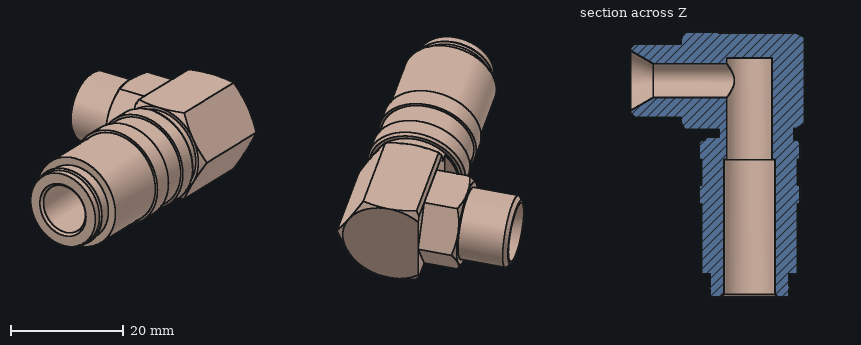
import cadquery as cq
import math

TAN_30 = math.tan(math.radians(30))
HEX_CORNER_RATIO = 1 / math.cos(math.radians(30))

elbow_flat_radius = 8.5
elbow_half_length = 8.5
milled_face_x = -5.4
mill_end_y = -10.05

nut_flat_radius = 7.5
nut_end_x = -12.2
stub_end_x = -21.17
stub_radius = 6.55
stub_chamfer = 0.75
stub_bore_radius = 2.95
stub_mouth_radius = 5.35

neck_radius = 7.9
collar_radius = 9.0
collar_chamfer = 0.45
body_radius = 8.55
nose_radius = 7.05
ring_radius = 7.3
collar_start_y = -10.5
collar_end_y = -14.05
band_start_y = -18.55
band_end_y = -22.0
body_end_y = -34.45
ring_start_y = -36.45
ring_end_y = -37.2
barrel_end_y = nut_flat_radius * HEX_CORNER_RATIO - 47.15

mouth_radius = 5.0
bore_radius = 4.55
mouth_chamfer = mouth_radius - bore_radius
passage_radius = 4.0
bore_step_y = collar_end_y
passage_floor_y = 4.0


def revolve_x(points):
    """Revolve an (x, radius) outline around the X axis."""
    return cq.Workplane("XY").polyline(points).close().revolve(360, (0, 0, 0), (1, 0, 0))


def revolve_y(points):
    """Revolve a (radius, y) outline around the Y axis."""
    return cq.Workplane("XY").polyline(points).close().revolve(360, (0, 0, 0), (0, 1, 0))


def make_elbow():
    corner_radius = elbow_flat_radius * HEX_CORNER_RATIO
    bevel_depth = (corner_radius - elbow_flat_radius) * TAN_30
    block = (
        cq.Workplane("XZ", origin=(0, elbow_half_length, 0))
        .polygon(6, 2 * corner_radius)
        .extrude(2 * elbow_half_length)
    )
    envelope = revolve_y([
        (0, -elbow_half_length),
        (elbow_flat_radius, -elbow_half_length),
        (corner_radius, -elbow_half_length + bevel_depth),
        (corner_radius, elbow_half_length - bevel_depth),
        (elbow_flat_radius, elbow_half_length),
        (0, elbow_half_length),
    ])
    return block.intersect(envelope)


def make_neck():
    return cq.Workplane("XZ").circle(neck_radius).extrude(-collar_start_y)


def mill_side(solid):
    """Mill the stub side of the block and neck down to a flat."""
    size = 4 * elbow_flat_radius
    cutter = cq.Workplane("XY").box(size, size, size, centered=(False, False, True))
    return solid.cut(cutter.translate((milled_face_x - size, mill_end_y, 0)))


def make_nut():
    corner_radius = nut_flat_radius * HEX_CORNER_RATIO
    bevel_depth = (corner_radius - nut_flat_radius) * TAN_30
    nut = cq.Workplane("YZ").polygon(6, 2 * corner_radius).extrude(nut_end_x)
    envelope = revolve_x([
        (nut_end_x, 0),
        (nut_end_x, nut_flat_radius),
        (nut_end_x + bevel_depth, corner_radius),
        (milled_face_x, corner_radius),
        (milled_face_x, 0),
    ])
    return nut.intersect(envelope)


def make_stub():
    return revolve_x([
        (stub_end_x, 0),
        (stub_end_x, stub_radius - stub_chamfer),
        (stub_end_x + stub_chamfer, stub_radius),
        (milled_face_x, stub_radius),
        (milled_face_x, 0),
    ])


def make_barrel():
    ring_middle_y = (ring_start_y + ring_end_y) / 2
    return (
        cq.Workplane("XY")
        .moveTo(0, collar_start_y)
        .lineTo(collar_radius - collar_chamfer, collar_start_y)
        .lineTo(collar_radius, collar_start_y - collar_chamfer)
        .lineTo(collar_radius, collar_end_y)
        .lineTo(body_radius, collar_end_y)
        .lineTo(body_radius, band_start_y)
        .lineTo(collar_radius, band_start_y)
        .lineTo(collar_radius, band_end_y)
        .lineTo(body_radius, band_end_y)
        .lineTo(body_radius, body_end_y)
        .lineTo(nose_radius, body_end_y)
        .lineTo(nose_radius, ring_start_y)
        .lineTo(ring_radius, ring_middle_y)
        .lineTo(nose_radius, ring_end_y)
        .lineTo(nose_radius, barrel_end_y)
        .lineTo(0, barrel_end_y)
        .close()
        .revolve(360, (0, 0, 0), (0, 1, 0))
    )


def make_barrel_bore():
    return revolve_y([
        (0, barrel_end_y),
        (mouth_radius, barrel_end_y),
        (bore_radius, barrel_end_y + mouth_chamfer),
        (bore_radius, bore_step_y),
        (passage_radius, bore_step_y),
        (passage_radius, passage_floor_y),
        (0, passage_floor_y),
    ])


def make_stub_bore():
    cone_depth = (stub_mouth_radius - stub_bore_radius) / TAN_30
    return revolve_x([
        (stub_end_x, 0),
        (stub_end_x, stub_mouth_radius),
        (stub_end_x + cone_depth, stub_bore_radius),
        (0, stub_bore_radius),
        (0, 0),
    ])


elbow = mill_side(make_elbow().union(make_neck()))
outside = elbow.union(make_nut()).union(make_stub()).union(make_barrel())
result = outside.cut(make_barrel_bore()).cut(make_stub_bore())